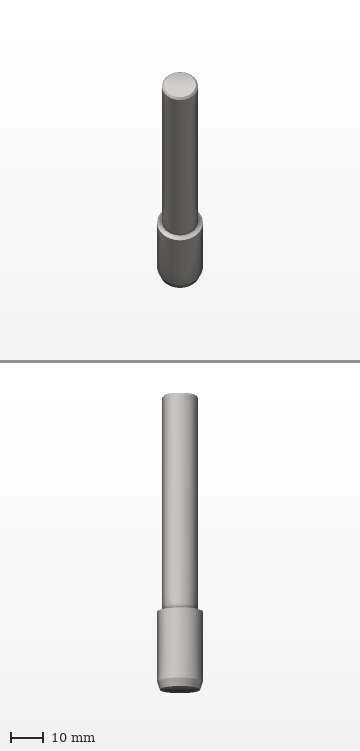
import cadquery as cq

total_height = 91.3
rod_diameter = 11.0
rod_chamfer = 0.6

sleeve_diameter = 14.0
sleeve_height = 24.7
sleeve_top_cone_height = 0.55
sleeve_foot_taper_height = 2.5
sleeve_foot_taper_width = 0.8


def make_rod():
    """Straight round rod with a chamfered top edge, running the full height."""
    rod = cq.Workplane("XY").circle(rod_diameter / 2).extrude(total_height)
    return rod.faces(">Z").edges().chamfer(rod_chamfer)


def make_sleeve():
    """Round sleeve, sloping up to the rod at the top, tapered at the foot, bored for the rod."""
    bore_radius = rod_diameter / 2
    outer_radius = sleeve_diameter / 2
    wall_section = (
        cq.Workplane("XZ")
        .moveTo(bore_radius, 0)
        .lineTo(outer_radius - sleeve_foot_taper_width, 0)
        .lineTo(outer_radius, sleeve_foot_taper_height)
        .lineTo(outer_radius, sleeve_height - sleeve_top_cone_height)
        .lineTo(bore_radius, sleeve_height)
        .close()
    )
    return wall_section.revolve(360, (0, 0, 0), (0, 1, 0))


rod = make_rod()
sleeve = make_sleeve()

result = cq.Compound.makeCompound([rod.val(), sleeve.val()])